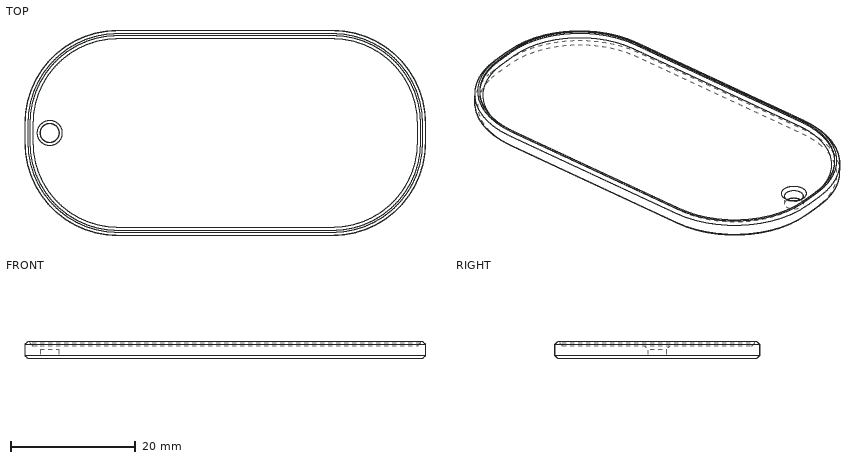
import cadquery as cq

length = 64.5
width = 33.0
thickness = 2.8
corner_radius = 14.95
edge_chamfer = 0.5

rim_land = 0.3
recess_inset = edge_chamfer + rim_land
recess_depth = 0.8
floor_bevel = edge_chamfer
floor_height = thickness - recess_depth

hole_radius = 3.0 / 2
hole_edge_distance = 4.0
hole_x = hole_edge_distance - length / 2
hole_chamfer = edge_chamfer


def rounded_plate(inset):
    """Plate of full thickness on Z = 0, its outline moved inwards by the inset."""
    return (
        cq.Workplane("XY")
        .rect(length - 2 * inset, width - 2 * inset)
        .extrude(thickness)
        .edges("|Z")
        .fillet(corner_radius - inset)
    )


def plate_body():
    """Rounded plate with its top and bottom outer edges chamfered."""
    return rounded_plate(0).faces("<Z or >Z").edges().chamfer(edge_chamfer)


def recess():
    """Cutter for the recess: upright walls with a bevel down to the floor."""
    cutter = rounded_plate(recess_inset).faces("<Z").chamfer(floor_bevel)
    return cutter.translate((0, 0, floor_height))


def keyring_hole():
    """Cutter for the through hole and its countersink at the recess floor."""
    drill = cq.Workplane("XY").center(hole_x, 0).circle(hole_radius).extrude(thickness)
    countersink = cq.Solid.makeCone(
        hole_radius,
        hole_radius + hole_chamfer,
        hole_chamfer,
        pnt=cq.Vector(hole_x, 0, floor_height - hole_chamfer),
    )
    return drill.union(cq.Workplane(obj=countersink))


result = plate_body().cut(recess()).cut(keyring_hole())